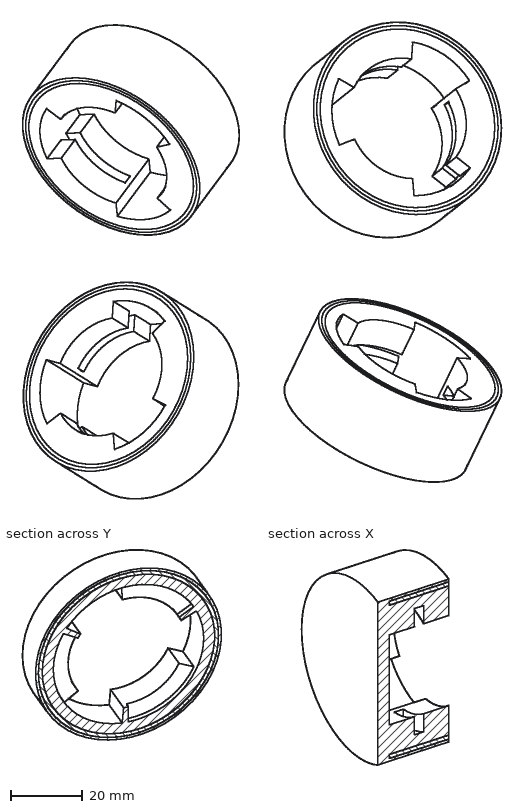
import cadquery as cq
import math

outer_diameter = 56.0
outer_radius = outer_diameter / 2
cap_length = 24.0
socket_depth = 20.0
socket_radius = 22.5
lug_inner_radius = 17.5

lug_count = 3
lug_pitch = 360 / lug_count
lug_start_angle = -34.0
lug_end_angle = 35.0
stop_angle = 5.0
groove_width = 3.0
groove_center_depth = 10.0
groove_start_depth = groove_center_depth - groove_width / 2

sleeve_wall = 1.0
sleeve_outer_radius = outer_radius - sleeve_wall
sleeve_inner_radius = sleeve_outer_radius - sleeve_wall
sleeve_depth = socket_depth


def plane_at(depth):
    """Plane at a depth behind the open end, with local axes X and Z and normal -Y."""
    return cq.Workplane("XZ", origin=(0, depth, 0))


def cylinder(radius, length):
    """Cylinder running back from the open end."""
    return plane_at(0).circle(radius).extrude(-length)


def tube(outside, inside, length):
    """Tube running back from the open end."""
    return plane_at(0).circle(outside).circle(inside).extrude(-length)


def polar(radius, angle):
    """Point on a circle about the cap axis."""
    turn = math.radians(angle)
    return radius * math.cos(turn), radius * math.sin(turn)


def ring_sector(start_angle, end_angle, start_depth, length):
    """Sector between the lug bore and the socket wall."""
    middle_angle = (start_angle + end_angle) / 2
    return (
        plane_at(start_depth)
        .moveTo(*polar(lug_inner_radius, start_angle))
        .lineTo(*polar(socket_radius, start_angle))
        .threePointArc(polar(socket_radius, middle_angle), polar(socket_radius, end_angle))
        .lineTo(*polar(lug_inner_radius, end_angle))
        .threePointArc(polar(lug_inner_radius, middle_angle), polar(lug_inner_radius, start_angle))
        .close()
        .extrude(-length)
    )


def make_sleeve():
    """Thin ring that fills the channel of the housing."""
    return tube(sleeve_outer_radius, sleeve_inner_radius, sleeve_depth)


def make_housing():
    """Closed cap with axial entry slots between grooved bayonet lugs."""
    body = cylinder(outer_radius, cap_length)

    body = body.cut(cylinder(lug_inner_radius, socket_depth))

    for index in range(lug_count):
        turn = index * lug_pitch
        lug_start = lug_start_angle + turn
        lug_end = lug_end_angle + turn
        next_lug_start = lug_start + lug_pitch

        body = body.cut(ring_sector(lug_end, next_lug_start, 0, socket_depth))

        groove_end = lug_end - stop_angle
        body = body.cut(ring_sector(lug_start, groove_end, groove_start_depth, groove_width))

    return body.cut(tube(sleeve_outer_radius, sleeve_inner_radius, sleeve_depth))


housing = make_housing()
sleeve = make_sleeve()
result = cq.Compound.makeCompound([housing.solids().val(), sleeve.solids().val()])